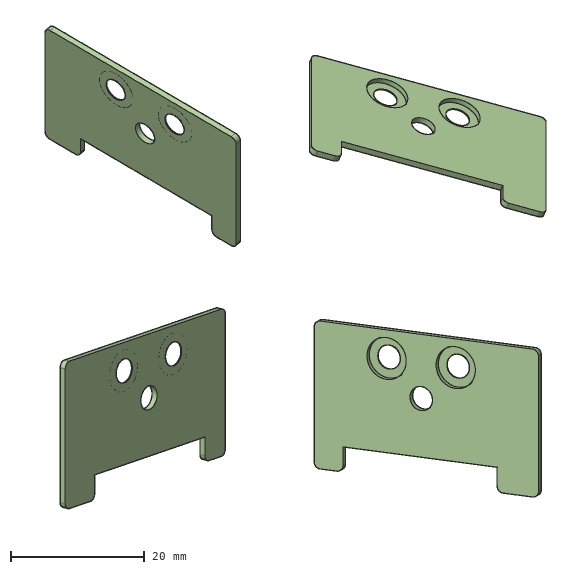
import cadquery as cq

width = 37.1
height = 23.0
thickness = 1.0
corner_radius = 1.0

left_leg_width = 6.85
right_leg_width = 4.75
leg_height = 3.9

hole_diameter = 3.7
hole_center_x = 0.85
upper_hole_spacing = 11.43
upper_hole_drop = 4.45
lower_hole_drop = 9.98

counterbore_diameter = 6.5
counterbore_land = 0.2

left = -width / 2
right = width / 2
bottom = -height / 2
top = height / 2

upper_hole_z = top - upper_hole_drop
upper_hole_centers = [
    (hole_center_x - upper_hole_spacing / 2, upper_hole_z),
    (hole_center_x + upper_hole_spacing / 2, upper_hole_z),
]
lower_hole_center = (hole_center_x, top - lower_hole_drop)


def make_plate():
    """Plate with legs; only the outward corners are rounded."""
    notch_left = left + left_leg_width
    notch_right = right - right_leg_width
    notch_top = bottom + leg_height
    plate = (
        cq.Workplane("XZ", origin=(0, thickness / 2, 0))
        .moveTo(left, top)
        .lineTo(right, top)
        .lineTo(right, bottom)
        .lineTo(notch_right, bottom)
        .lineTo(notch_right, notch_top)
        .lineTo(notch_left, notch_top)
        .lineTo(notch_left, bottom)
        .lineTo(left, bottom)
        .close()
        .extrude(thickness)
    )
    top_corners = plate.edges("|Y and >Z")
    plate = top_corners.fillet(corner_radius)
    leg_corners = plate.edges("|Y and <Z")
    return leg_corners.fillet(corner_radius)


def make_holes():
    """Cylinders that cut the three through holes."""
    return (
        cq.Workplane("XZ", origin=(0, thickness / 2, 0))
        .pushPoints(upper_hole_centers + [lower_hole_center])
        .circle(hole_diameter / 2)
        .extrude(thickness)
    )


def make_counterbores():
    """Flat-bottomed bores in the +Y face that leave a thin land around the upper holes."""
    return (
        cq.Workplane("XZ", origin=(0, thickness / 2, 0))
        .pushPoints(upper_hole_centers)
        .circle(counterbore_diameter / 2)
        .extrude(thickness - counterbore_land)
    )


result = make_plate().cut(make_holes()).cut(make_counterbores())